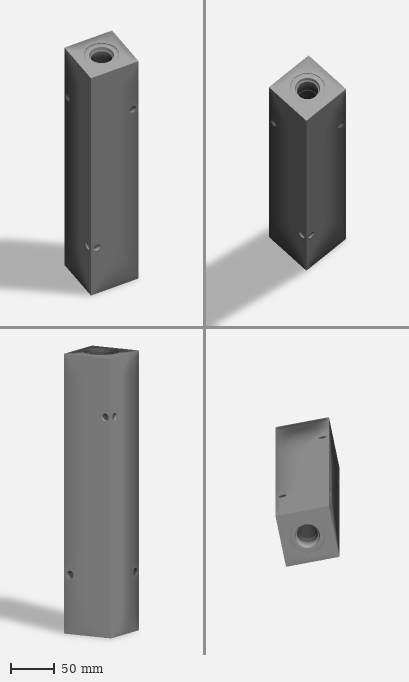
import cadquery as cq
import math

height = 330.2
width = 63.5

bore_diameter = 22.5
seat_rim_diameter = 29.0
seat_floor_diameter = 27.0
seat_depth = 3.3
port_diameter = 24.5
lead_in_depth = (seat_floor_diameter - port_diameter) / 2
port_depth = 23.0
drill_point_angle = 118.0
drill_point_depth = (port_diameter - bore_diameter) / 2 / math.tan(math.radians(drill_point_angle / 2))
spotface_diameter = 41.0
spotface_depth = 1.0
spotface_floor = height / 2 - spotface_depth

cross_hole_diameter = 9.2
cross_hole_offset = 23.8
cross_hole_height = 95.0


def cylinder_along_bar(diameter, start, length):
    """Cylinder on the bar axis, rising from the given height."""
    return cq.Workplane("XY").workplane(offset=start).circle(diameter / 2).extrude(length)


def both_ends(top_recess):
    """Recess at the top end together with its mirror image at the bottom end."""
    return top_recess.union(top_recess.mirror("XY"))


def spotface():
    """Shallow flat-bottomed recess in the top face."""
    return cylinder_along_bar(spotface_diameter, spotface_floor, spotface_depth)


def port():
    """Steep seat below the spotface, a 45 degree lead-in, then a straight port with a drill-point floor."""
    seat_floor = spotface_floor - seat_depth
    lead_in_floor = seat_floor - lead_in_depth
    port_floor = height / 2 - port_depth
    half_profile = [
        (0, spotface_floor),
        (seat_rim_diameter / 2, spotface_floor),
        (seat_floor_diameter / 2, seat_floor),
        (port_diameter / 2, lead_in_floor),
        (port_diameter / 2, port_floor),
        (bore_diameter / 2, port_floor - drill_point_depth),
        (0, port_floor - drill_point_depth),
    ]
    return cq.Workplane("XZ").polyline(half_profile).close().revolve(360, (0, 0), (0, 1))


def cross_holes(plane, top_side):
    """Two holes through the bar, normal to the plane and set diagonally about its centre.

    top_side is the sign of the upper hole's sideways offset from the bar axis.
    """
    centres = [
        (top_side * cross_hole_offset, cross_hole_height),
        (-top_side * cross_hole_offset, -cross_hole_height),
    ]
    holes = cq.Workplane(plane).pushPoints(centres).circle(cross_hole_diameter / 2)
    return holes.extrude(width, both=True)


bar = cq.Workplane("XY").box(width, width, height)
bar = bar.cut(cylinder_along_bar(bore_diameter, -height / 2, height))
bar = bar.cut(both_ends(port()))
bar = bar.cut(both_ends(spotface()))

bar = bar.cut(cross_holes("XZ", top_side=-1))
result = bar.cut(cross_holes("YZ", top_side=1))